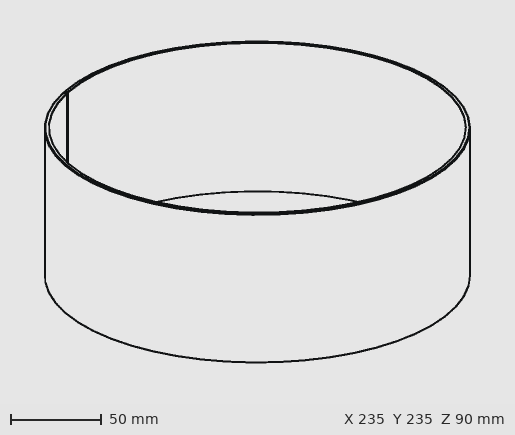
import cadquery as cq

OUTER_DIAMETER = 235.0
WALL_THICKNESS = 2.5
BAND_HEIGHT = 90.0
OUTER_RIM_CHAMFER = 0.5
INNER_RIM_CHAMFER = 0.2

SLIT_ANGLE = 1.0

outer_radius = OUTER_DIAMETER / 2
wall_mid_radius = outer_radius - WALL_THICKNESS / 2
sweep_angle = 360.0 - SLIT_ANGLE


def make_wall_section():
    """Wall cross-section on the -X side, chamfered at the outer and inner rims."""
    return (
        cq.Sketch()
        .push([(-wall_mid_radius, 0)])
        .rect(WALL_THICKNESS, BAND_HEIGHT)
        .reset()
        .vertices("<X")
        .chamfer(OUTER_RIM_CHAMFER)
        .reset()
        .vertices(">X")
        .chamfer(INNER_RIM_CHAMFER)
    )


def make_split_band():
    """Revolve the wall about Z from -X through -Y, stopping short to leave the slit."""
    return (
        cq.Workplane("XZ")
        .placeSketch(make_wall_section())
        .revolve(sweep_angle, (0, 0, 0), (0, 1, 0))
    )


result = make_split_band()